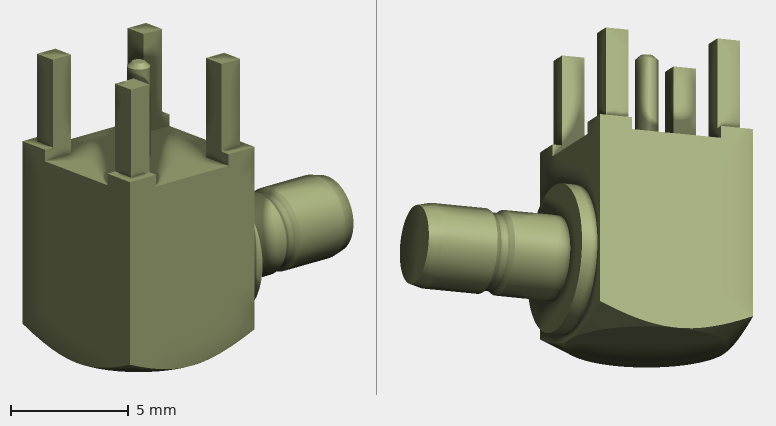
import cadquery as cq
import math

overall_length = 14.1
body_width = 7.0
body_height = 9.05
half_width = body_width / 2
underside_angle = 30
notch_depth = 0.52
pad_width = 1.47

leg_width = 1.03
leg_length = 3.95
leg_inset = 0.44
leg_center = half_width - leg_inset - leg_width / 2
pin_diameter = 1.0
pin_setback = 0.23
pin_top = body_height + leg_length - pin_setback
pin_chamfer_height = 0.2
pin_tip_diameter = 0.56

socket_length = overall_length - body_width
socket_axis_height = half_width
flange_radius = 3.2
flange_thickness = 0.7
barrel_radius = 1.83
groove_radius = 1.68
groove_start = 3.23
groove_slope_length = 0.23
groove_floor_length = 0.34
tip_radius = 1.69
tip_taper_length = 0.58


def make_body():
    """Block with corner pads on top and a conical cut around the underside."""
    block = cq.Workplane("XY").box(body_width, body_width, body_height, centered=(True, True, False))
    gap = body_width - 2 * pad_width
    notch_floor = cq.Workplane("XY").workplane(offset=body_height - notch_depth)
    block = block.cut(notch_floor.rect(gap, body_width).extrude(notch_depth))
    block = block.cut(notch_floor.rect(body_width, gap).extrude(notch_depth))

    envelope_radius = body_width
    envelope_rise = (envelope_radius - half_width) * math.tan(math.radians(underside_angle))
    envelope = (
        cq.Workplane("XZ")
        .polyline([
            (0, 0),
            (half_width, 0),
            (envelope_radius, envelope_rise),
            (envelope_radius, body_height),
            (0, body_height),
        ])
        .close()
        .revolve(360, (0, 0), (0, 1))
    )
    return block.intersect(envelope)


def make_legs():
    """Four square legs, one standing on each corner pad and rooted in the block."""
    return (
        cq.Workplane("XY")
        .workplane(offset=body_height - notch_depth)
        .rect(2 * leg_center, 2 * leg_center, forConstruction=True)
        .vertices()
        .rect(leg_width, leg_width)
        .extrude(notch_depth + leg_length)
    )


def make_pin():
    """Round centre pin with a chamfered tip, rooted just below the notch floor."""
    root = body_height - 2 * notch_depth
    pin_radius = pin_diameter / 2
    return (
        cq.Workplane("XZ")
        .polyline([
            (0, root),
            (pin_radius, root),
            (pin_radius, pin_top - pin_chamfer_height),
            (pin_tip_diameter / 2, pin_top),
            (0, pin_top),
        ])
        .close()
        .revolve(360, (0, 0), (0, 1))
    )


def make_socket():
    """Flange and grooved barrel, revolved about an axis along Y."""
    groove_floor_start = groove_start + groove_slope_length
    groove_floor_end = groove_floor_start + groove_floor_length
    groove_end = groove_floor_end + groove_slope_length
    profile = [
        (0, 0),
        (flange_radius, 0),
        (flange_radius, flange_thickness),
        (barrel_radius, flange_thickness),
        (barrel_radius, groove_start),
        (groove_radius, groove_floor_start),
        (groove_radius, groove_floor_end),
        (barrel_radius, groove_end),
        (barrel_radius, socket_length - tip_taper_length),
        (tip_radius, socket_length),
        (0, socket_length),
    ]
    return (
        cq.Workplane("XY", origin=(0, half_width, socket_axis_height))
        .polyline(profile)
        .close()
        .revolve(360, (0, 0), (0, 1))
    )


result = make_body().union(make_legs()).union(make_pin()).union(make_socket())